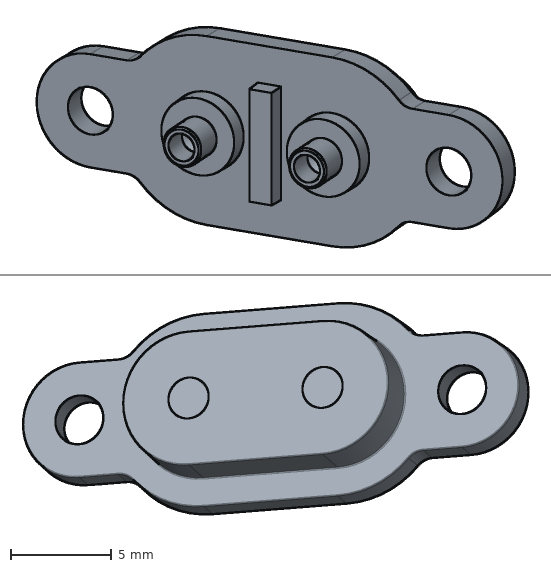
import cadquery as cq
import math

mould_draft = 1.5

edge_round = 0.06

flange_thickness = 1.5
flange_height = 10.0
flange_end_radius = flange_height / 2
ear_radius = 3.0
ear_spacing = 20.0
neck_radius = 1.0
screw_hole_diameter = 2.5

pin_spacing = 7.0
pin_diameter = 2.1
pin_projection = 1.8
pin_chamfer = 0.1
collar_diameter = 4.12
collar_height = 1.0
cup_diameter = 1.45
cup_depth = 1.5
cup_tip_angle = 118.0

block_height = 7.0
block_depth = 2.5

rib_width = 1.3
rib_length = 6.0
rib_height = collar_height

flange_front = 0.0
flange_back = flange_front + flange_thickness
block_back = flange_back + block_depth
collar_front = flange_front - collar_height
pin_front = collar_front - pin_projection

pin_x = pin_spacing / 2
ear_x = ear_spacing / 2
pin_centres = [(-pin_x, 0), (pin_x, 0)]
ear_centres = [(-ear_x, 0), (ear_x, 0)]


def plane_facing_front(y):
    """Sketch plane at the given Y; extrusions from it grow toward -Y."""
    return cq.Workplane("XZ", origin=(0, y, 0))


def plane_facing_back(y):
    """Sketch plane at the given Y; extrusions from it grow toward +Y."""
    return cq.Workplane("XZ", origin=(0, y, 0)).transformed(rotate=(0, 180, 0))


def stadium(plane, height):
    """Outline with its round ends centred on the two pins."""
    return plane.slot2D(pin_spacing + height, height)


def flange_outline():
    """Wire of the flange: a wide stadium and a long narrow one, blended by the neck radius."""
    centre = stadium(plane_facing_back(flange_front), flange_height).extrude(flange_thickness)
    ears = (
        plane_facing_back(flange_front).slot2D(ear_spacing + 2 * ear_radius, 2 * ear_radius)
        .extrude(flange_thickness)
    )
    blank = centre.union(ears)
    corner_x = pin_x + math.sqrt(flange_end_radius**2 - ear_radius**2)
    for x in (-corner_x, corner_x):
        for z in (-ear_radius, ear_radius):
            corner = cq.selectors.NearestToPointSelector((x, flange_thickness / 2, z))
            blank = blank.edges(corner).fillet(neck_radius)
    return blank.faces("<Y").wires().val()


def make_flange():
    away_from_front = cq.Vector(0, flange_thickness, 0)
    flange = cq.Workplane(cq.Solid.extrudeLinear(flange_outline(), [], away_from_front, mould_draft))
    flange = flange.faces(">Y").edges().fillet(edge_round)
    screw_holes = (
        plane_facing_back(flange_front).pushPoints(ear_centres)
        .circle(screw_hole_diameter / 2).extrude(flange_thickness)
    )
    return flange.cut(screw_holes)


def make_block():
    block = stadium(plane_facing_back(flange_back), block_height).extrude(block_depth, taper=mould_draft)
    return block.faces(">Y").edges().fillet(edge_round)


def make_rib():
    return plane_facing_front(flange_front).rect(rib_width, rib_length).extrude(rib_height, taper=mould_draft)


def make_housing():
    collars = (
        plane_facing_front(flange_front).pushPoints(pin_centres)
        .circle(collar_diameter / 2).extrude(collar_height, taper=mould_draft)
    )
    pin_holes = (
        plane_facing_front(block_back).pushPoints(pin_centres)
        .circle(pin_diameter / 2).extrude(block_back - collar_front)
    )
    shell = make_flange().union(make_block())
    foot_centre = cq.selectors.NearestToPointSelector((0, flange_back, block_height / 2))
    shell = shell.edges(foot_centre).fillet(edge_round)
    return shell.union(collars).union(make_rib()).cut(pin_holes)


def make_pin(x):
    """Turned pin with a drilled cup in its front end, built about its own axis."""
    pin_radius = pin_diameter / 2
    cup_radius = cup_diameter / 2
    cup_bottom = pin_front + cup_depth
    cup_tip = cup_bottom + cup_radius / math.tan(math.radians(cup_tip_angle / 2))
    profile = (
        cq.Workplane("XY")
        .moveTo(0, cup_tip)
        .lineTo(cup_radius, cup_bottom)
        .lineTo(cup_radius, pin_front)
        .lineTo(pin_radius - pin_chamfer, pin_front)
        .lineTo(pin_radius, pin_front + pin_chamfer)
        .lineTo(pin_radius, block_back)
        .lineTo(0, block_back)
        .close()
    )
    return profile.revolve(360, (0, 0, 0), (0, 1, 0)).translate((x, 0, 0))


housing = make_housing()
pins = [make_pin(x) for x, _ in pin_centres]

result = cq.Compound.makeCompound([housing.val(), *[pin.val() for pin in pins]])